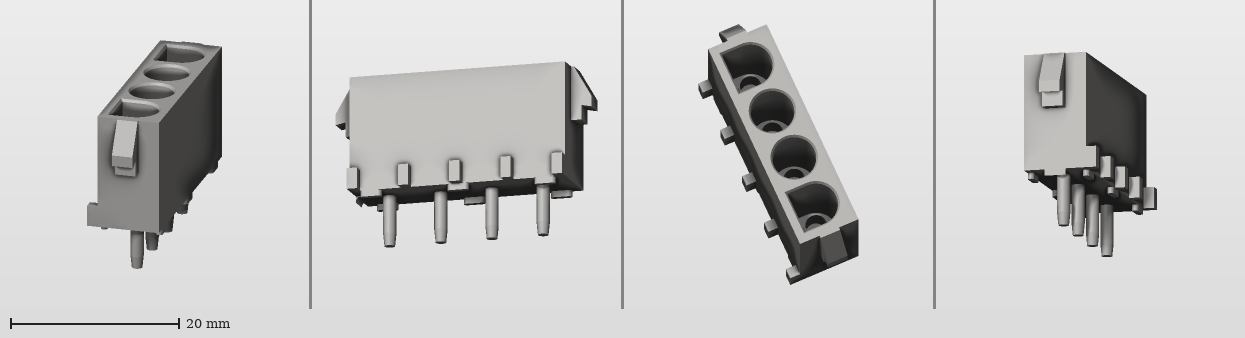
import cadquery as cq
import math

OVERALL_LENGTH = 31.75

BODY_WIDTH = 7.62
BODY_LENGTH = 26.73
BODY_HEIGHT = 14.0
HALF_WIDTH = BODY_WIDTH / 2
HALF_LENGTH = BODY_LENGTH / 2

POLE_COUNT = 4
PITCH = 6.35
POLE_CENTRES = [(i - (POLE_COUNT - 1) / 2) * PITCH for i in range(POLE_COUNT)]

CAVITY_RADIUS = 2.6
CAVITY_DEPTH = 11.43
LIP_WIDTH = 0.22
LIP_DEPTH = 0.32

CAVITY_FLOOR = BODY_HEIGHT - CAVITY_DEPTH

WELL_RADIUS = 1.6
WELL_DEPTH = 0.65
SOCKET_OUTER_RADIUS = 1.5
SOCKET_BORE_RADIUS = 1.27
SOCKET_BORE_DEPTH = 3.18
SOCKET_HEIGHT = 3.8

TAIL_RADIUS = 0.8
TAIL_TIP_RADIUS = 0.65
TAIL_LENGTH = 6.1
TAIL_TAPER_LENGTH = 1.52

TAB_COUNT = 5
TAB_REACH = 1.27
TAB_WIDTH = 1.27
TAB_HEIGHT = 2.55

LATCH_WIDTH = 2.55
LATCH_STEM = 1.27
LATCH_REACH = OVERALL_LENGTH / 2 - HALF_LENGTH
LATCH_TOP = 0.32
LATCH_RAMP_DROP = 3.75
LATCH_BARB_DROP = 5.08
LATCH_UNDERCUT_DROP = 4.83
LATCH_STEM_DROP = 6.6

FOOT_LENGTH = 2.6
FOOT_WIDTH = 0.8
FOOT_HEIGHT = 0.75
FEET_PER_SIDE = 3
FOOT_SPACING = 10.8

END_RIB_WIDTH = 2.55


def cylinder(radius, bottom, height, y):
    """Upright cylinder on the contact row."""
    return cq.Workplane("XY", origin=(0, y, bottom)).circle(radius).extrude(height)


def cavity_outline(workplane, radius, is_d_shaped):
    """Circle, or a D whose square side faces -X."""
    if not is_d_shaped:
        return workplane.circle(radius)
    return (
        workplane.moveTo(-radius, -radius)
        .lineTo(0, -radius)
        .threePointArc((radius, 0), (0, radius))
        .lineTo(-radius, radius)
        .close()
    )


def cavity(y, is_d_shaped):
    """Straight cavity with a flared lip at the top face."""
    straight = cavity_outline(cq.Workplane("XY", origin=(0, y, CAVITY_FLOOR)), CAVITY_RADIUS, is_d_shaped)
    straight = straight.extrude(CAVITY_DEPTH)
    lip = cavity_outline(
        cq.Workplane("XY", origin=(0, y, BODY_HEIGHT - LIP_DEPTH)), CAVITY_RADIUS, is_d_shaped
    )
    lip = cavity_outline(lip.workplane(offset=LIP_DEPTH), CAVITY_RADIUS + LIP_WIDTH, is_d_shaped)
    return straight.union(lip.loft(ruled=True))


def socket(y):
    """Hollow contact rising from the bottom of its clearance well."""
    bottom = CAVITY_FLOOR - WELL_DEPTH
    top = bottom + SOCKET_HEIGHT
    outer = cylinder(SOCKET_OUTER_RADIUS, bottom, SOCKET_HEIGHT, y)
    return outer.cut(cylinder(SOCKET_BORE_RADIUS, top - SOCKET_BORE_DEPTH, SOCKET_BORE_DEPTH, y))


def tail(y):
    """Round tail below the housing with a tapered tip."""
    taper_start = TAIL_TAPER_LENGTH - TAIL_LENGTH
    profile = (
        cq.Workplane("XZ", origin=(0, y, 0))
        .moveTo(0, 0)
        .lineTo(TAIL_RADIUS, 0)
        .lineTo(TAIL_RADIUS, taper_start)
        .lineTo(TAIL_TIP_RADIUS, -TAIL_LENGTH)
        .lineTo(0, -TAIL_LENGTH)
        .close()
    )
    return profile.revolve(360, (0, 0, 0), (0, 1, 0))


def latch():
    """Snap latch on the +Y end: sloped lead-in above an undercut barb."""
    outline = [
        (0, 0),
        (LATCH_TOP, 0),
        (LATCH_REACH, LATCH_RAMP_DROP),
        (LATCH_REACH, LATCH_BARB_DROP),
        (LATCH_STEM, LATCH_UNDERCUT_DROP),
        (LATCH_STEM, LATCH_STEM_DROP),
        (0, LATCH_STEM_DROP),
    ]
    points = [(HALF_LENGTH + reach, BODY_HEIGHT - drop) for reach, drop in outline]
    return cq.Workplane("YZ").polyline(points).close().extrude(LATCH_WIDTH / 2, both=True)


def tabs():
    """Key tabs, the outer two flush with the housing ends."""
    spacing = (BODY_LENGTH - TAB_WIDTH) / (TAB_COUNT - 1)
    return (
        cq.Workplane("XY", origin=(-HALF_WIDTH - TAB_REACH / 2, 0, 0))
        .rarray(0.32, spacing, 1, TAB_COUNT)
        .rect(TAB_REACH, TAB_WIDTH)
        .extrude(TAB_HEIGHT)
    )


def feet():
    """Round-ended standoffs flush with both long sides."""
    return (
        cq.Workplane("XY")
        .rarray(BODY_WIDTH - FOOT_WIDTH, FOOT_SPACING, 2, FEET_PER_SIDE)
        .slot2D(FOOT_LENGTH, FOOT_WIDTH, 90)
        .extrude(-FOOT_HEIGHT)
    )


def end_rib():
    """Rib under the +Y end, hollowed to a thin edge by a quarter-round."""
    inner = HALF_LENGTH - FOOT_HEIGHT
    mid = FOOT_HEIGHT * math.sqrt(0.5)
    return (
        cq.Workplane("YZ")
        .moveTo(inner, 0)
        .threePointArc((inner + mid, mid - FOOT_HEIGHT), (HALF_LENGTH, -FOOT_HEIGHT))
        .lineTo(HALF_LENGTH, 0)
        .close()
        .extrude(END_RIB_WIDTH / 2, both=True)
    )


housing = cq.Workplane("XY").box(BODY_WIDTH, BODY_LENGTH, BODY_HEIGHT, centered=(True, True, False))
housing = housing.union(tabs()).union(feet()).union(end_rib())
housing = housing.union(latch()).union(latch().mirror("XZ"))

for pole, pole_y in enumerate(POLE_CENTRES):
    is_end_pole = pole in (0, POLE_COUNT - 1)
    housing = housing.cut(cavity(pole_y, is_end_pole))
    housing = housing.cut(cylinder(WELL_RADIUS, CAVITY_FLOOR - WELL_DEPTH, WELL_DEPTH, pole_y))
    housing = housing.union(socket(pole_y)).union(tail(pole_y))

result = housing